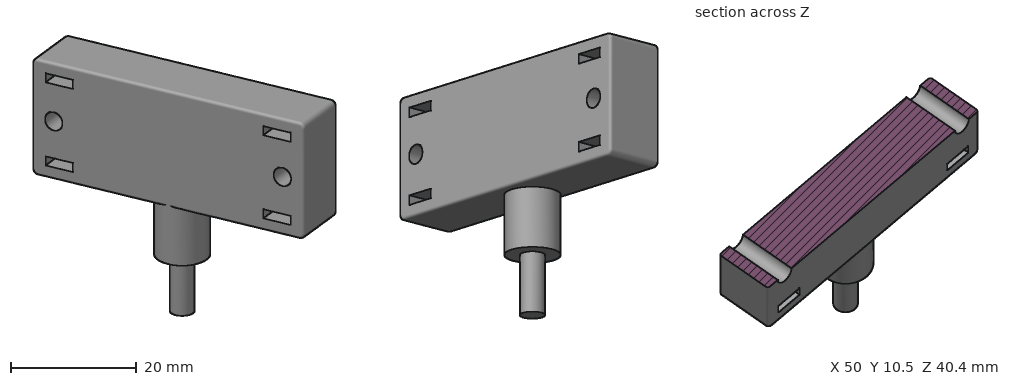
import cadquery as cq

body_width = 50
body_depth = 10.5
body_height = 20.4
corner_radius = 1
rim_radius = 0.5

boss_diameter = 9
boss_length = 10
cable_diameter = 4
cable_length = 10
outlet_y = boss_diameter / 2

hole_diameter = 3.2
hole_spacing = 42
slot_width = 5
slot_height = 1.6
slot_spacing_x = 40
slot_spacing_z = 14.6
mid_height = body_height / 2


def housing():
    block = cq.Workplane("XY").box(body_width, body_depth, body_height, centered=(True, False, False))
    block = block.edges("|Y").fillet(corner_radius)
    return block.faces("<Y or >Y").edges().fillet(rim_radius)


def outlet_cylinder(diameter, bottom_z, top_z):
    return (
        cq.Workplane("XY", origin=(0, outlet_y, bottom_z))
        .circle(diameter / 2)
        .extrude(top_z - bottom_z)
    )


def mounting_cutters():
    face = cq.Workplane("XZ", origin=(0, 0, mid_height))
    holes = face.rarray(hole_spacing, 0.5, 2, 1).circle(hole_diameter / 2).extrude(-body_depth)
    slots = (
        face.rarray(slot_spacing_x, slot_spacing_z, 2, 2)
        .rect(slot_width, slot_height)
        .extrude(-body_depth)
    )
    return holes.union(slots)


boss = outlet_cylinder(boss_diameter, -boss_length, corner_radius)
cable = outlet_cylinder(cable_diameter, -boss_length - cable_length, -boss_length)

result = housing().cut(mounting_cutters()).union(boss).union(cable)